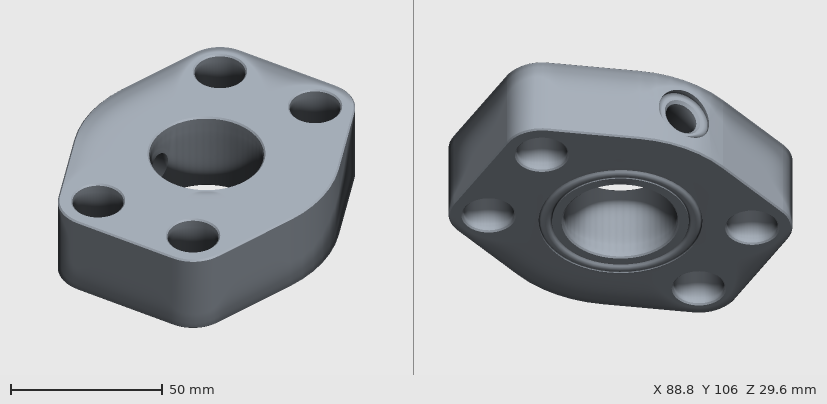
import cadquery as cq
import math

length = 106.0
width = 88.8
total_height = 29.6
seal_protrusion = 0.6
height = total_height - seal_protrusion
edge_chamfer = 0.5

bore_diameter = 38.0
bolt_hole_diameter = 17.0
bolt_spacing_x = 36.5
bolt_spacing_y = 79.4

port_diameter = 11.5
port_chamfer = 1.0
spotface_diameter = 19.0
spotface_depth = 2.0

seal_inner_diameter = 45.3
seal_outer_diameter = 54.2
seal_section_radius = (seal_outer_diameter - seal_inner_diameter) / 4
seal_center_radius = (seal_outer_diameter + seal_inner_diameter) / 4
groove_depth = 2 * seal_section_radius - seal_protrusion

side_radius = width / 2
bolt_x = bolt_spacing_x / 2
bolt_y = bolt_spacing_y / 2
corner_radius = length / 2 - bolt_y

flank_angle = math.atan2(bolt_y, bolt_x) - math.acos(
    (side_radius - corner_radius) / math.hypot(bolt_x, bolt_y)
)


def polar(radius, angle, center_x=0.0, center_y=0.0):
    return (center_x + radius * math.cos(angle), center_y + radius * math.sin(angle))


def make_block():
    side_x, side_y = polar(side_radius, flank_angle)
    flank_x, flank_y = polar(corner_radius, flank_angle, bolt_x, bolt_y)
    corner_mid_angle = (flank_angle + math.pi / 2) / 2
    mid_x, mid_y = polar(corner_radius, corner_mid_angle, bolt_x, bolt_y)
    end_y = length / 2
    return (
        cq.Workplane("XY")
        .moveTo(side_x, -side_y)
        .threePointArc((side_radius, 0), (side_x, side_y))
        .lineTo(flank_x, flank_y)
        .threePointArc((mid_x, mid_y), (bolt_x, end_y))
        .lineTo(-bolt_x, end_y)
        .threePointArc((-mid_x, mid_y), (-flank_x, flank_y))
        .lineTo(-side_x, side_y)
        .threePointArc((-side_radius, 0), (-side_x, -side_y))
        .lineTo(-flank_x, -flank_y)
        .threePointArc((-mid_x, -mid_y), (-bolt_x, -end_y))
        .lineTo(bolt_x, -end_y)
        .threePointArc((mid_x, -mid_y), (flank_x, -flank_y))
        .close()
        .extrude(height)
    )


def cut_vertical_holes(block):
    return (
        block.faces(">Z")
        .workplane(origin=(0, 0, height))
        .hole(bore_diameter)
        .faces(">Z")
        .workplane(origin=(0, 0, height))
        .rect(bolt_spacing_x, bolt_spacing_y, forConstruction=True)
        .vertices()
        .hole(bolt_hole_diameter)
    )


def make_port_cutter():
    floor_x = -side_radius + spotface_depth
    port_radius = port_diameter / 2
    spotface_radius = spotface_diameter / 2
    return (
        cq.Workplane("XY")
        .moveTo(0, 0)
        .lineTo(0, port_radius)
        .lineTo(floor_x + port_chamfer, port_radius)
        .lineTo(floor_x, port_radius + port_chamfer)
        .lineTo(floor_x, spotface_radius)
        .lineTo(-side_radius - spotface_depth, spotface_radius)
        .lineTo(-side_radius - spotface_depth, 0)
        .close()
        .revolve(360, (0, 0, 0), (1, 0, 0))
        .translate((0, 0, height / 2))
    )


def make_groove_cutter():
    return (
        cq.Workplane("XY")
        .circle(seal_outer_diameter / 2)
        .circle(seal_inner_diameter / 2)
        .extrude(groove_depth)
    )


def make_flange():
    block = cut_vertical_holes(make_block())
    block = block.faces("<Z or >Z").edges().chamfer(edge_chamfer)
    return block.cut(make_port_cutter()).cut(make_groove_cutter())


def make_seal_ring():
    center_z = groove_depth - seal_section_radius
    return (
        cq.Workplane("XZ")
        .center(seal_center_radius, center_z)
        .circle(seal_section_radius)
        .revolve(360, (-seal_center_radius, 0, 0), (-seal_center_radius, 1, 0))
    )


flange = make_flange()
seal_ring = make_seal_ring()
result = cq.Compound.makeCompound([flange.solids().val(), seal_ring.solids().val()])